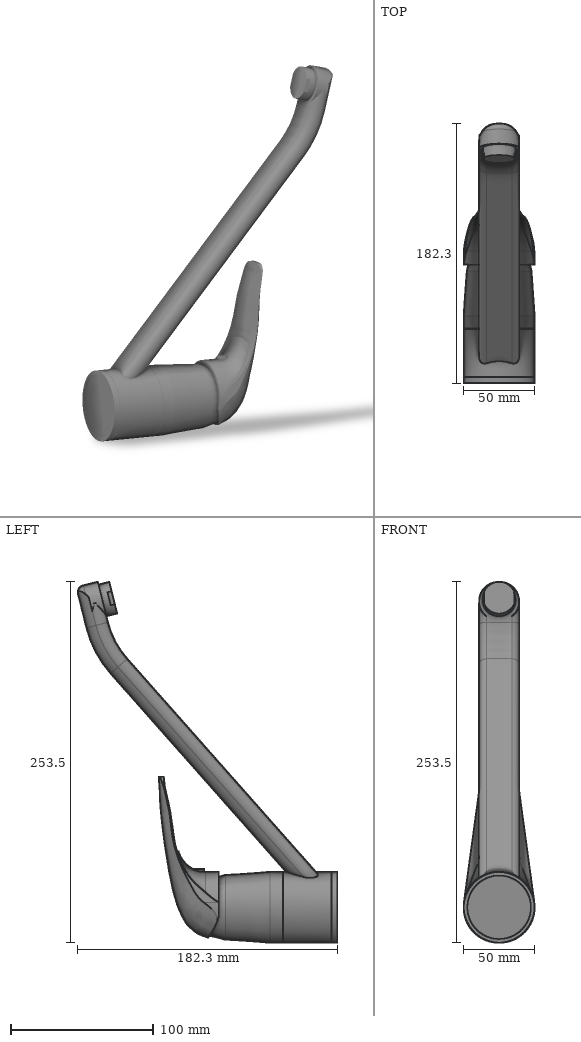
import cadquery as cq
import math

body_radius = 25.0
base_groove = 4.0
sleeve_groove = 38.0
taper_start = 47.5
taper_end = 78.8
taper_end_radius = 22.8
nose_end = 90.0
nose_end_radius = 20.0
groove_width = 0.5
groove_depth = 0.25
face_recess_radius = 22.3
face_recess_depth = 0.25

tube_thickness = 15.6
tube_flat_half_width = 9.0
tube_half_width = 14.1
tube_widest_depth = 5.0
tube_crease_half_width = 13.2
tube_crease_depth = 8.8
foot_y = 25.75
lean_low = math.radians(41.5)
lean_high = math.radians(14.0)
bend_radius = 68.5
bend_start_height = 169.5

head_above_bend = 15.1
head_edge_fillet = 5.0
nozzle_radius = 11.5
nozzle_length = 7.8
nozzle_rise = 0.6
nozzle_flat_half_width = 10.5
nozzle_flat_length = 3.0

lever_front = 83.2
lever_tip_height = 91.8
lever_side_taper = math.radians(7.75)
lever_tip_fillet = 9.0
lever_trim_allowance = 1.0
lever_collar_overlap = 0.5
lever_reach = 150.0
flare_start = 93.0
flare_radius = 19.2
flare_turn = math.radians(75)
button_radius = 4.1
button_y = 97.6
button_top = 26.9
button_depth = 7.0

opening_top = (lever_front, -5.7)
opening_middle = (86.3, -14.0)
opening_bottom = (91.4, -22.0)

lever_sections = [
    (120.2, 94.0, 125.7, 94.0),
    (119.2, 76.0, 124.9, 77.0),
    (116.2, 58.5, 123.4, 60.0),
    (109.5, 31.0, 118.3, 25.0),
    (104.0, 21.5, 114.5, 8.0),
    (97.5, 14.5, 108.2, -8.3),
    (90.5, 8.5, 99.6, -17.6),
    (lever_front, 4.0, lever_front, -24.6),
]


def revolve_about_y(profile):
    return profile.close().revolve(360, (0, 0, 0), (0, 1, 0))


def make_body():
    body = revolve_about_y(
        cq.Workplane("XY")
        .moveTo(0, 0)
        .lineTo(body_radius, 0)
        .lineTo(body_radius, taper_start)
        .lineTo(taper_end_radius, taper_end)
        .lineTo(nose_end_radius, nose_end)
        .lineTo(0, nose_end)
    )
    for groove_y in (base_groove, sleeve_groove):
        groove = (
            cq.Workplane("XZ", origin=(0, groove_y, 0))
            .circle(2 * body_radius)
            .circle(body_radius - groove_depth)
            .extrude(-groove_width)
        )
        body = body.cut(groove)
    recess = cq.Workplane("XZ").circle(face_recess_radius).extrude(-face_recess_depth)
    return body.cut(recess)


low_direction = (math.sin(lean_low), math.cos(lean_low))
high_direction = (math.sin(lean_high), math.cos(lean_high))


def along(point, direction, distance):
    return (point[0] + distance * direction[0], point[1] + distance * direction[1])


def arc_point(start, lean):
    """Point on the bend where the tube leans by the given angle, as (Y, Z)."""
    return (
        start[0] + bend_radius * (math.cos(lean) - math.cos(lean_low)),
        start[1] + bend_radius * (math.sin(lean_low) - math.sin(lean)),
    )


bend_start = (
    foot_y + (bend_start_height - body_radius) * math.tan(lean_low),
    bend_start_height,
)
bend_middle = arc_point(bend_start, (lean_low + lean_high) / 2)
bend_end = arc_point(bend_start, lean_high)
head_center = along(bend_end, high_direction, head_above_bend)
tube_root = (foot_y - body_radius / 2 * math.tan(lean_low), body_radius / 2)


def make_tube():
    path = (
        cq.Workplane("YZ")
        .moveTo(*tube_root)
        .lineTo(*bend_start)
        .threePointArc(bend_middle, bend_end)
        .lineTo(*head_center)
    )
    root_plane = cq.Plane(
        origin=(0, *tube_root), xDir=(1, 0, 0), normal=(0, *low_direction)
    )
    front = -tube_thickness / 2
    widest = front + tube_widest_depth
    crease = front + tube_crease_depth
    return (
        cq.Workplane(root_plane)
        .moveTo(-tube_flat_half_width, front)
        .lineTo(tube_flat_half_width, front)
        .threePointArc(
            (tube_half_width, widest), (tube_crease_half_width, crease)
        )
        .threePointArc((0, -front), (-tube_crease_half_width, crease))
        .threePointArc(
            (-tube_half_width, widest), (-tube_flat_half_width, front)
        )
        .close()
        .sweep(path)
    )


def make_head():
    outlet_normal = (0, -math.cos(lean_high), math.sin(lean_high))
    head_plane = cq.Plane(
        origin=(0, *head_center), xDir=(1, 0, 0), normal=outlet_normal
    )
    end_plane = cq.Plane(
        origin=(0, *head_center), xDir=(1, 0, 0), normal=(0, *high_direction)
    )
    front = tube_thickness / 2
    head = (
        cq.Workplane(head_plane)
        .workplane(offset=-front)
        .circle(tube_half_width)
        .extrude(tube_thickness)
        .edges(cq.selectors.DirectionMinMaxSelector(cq.Vector(outlet_normal), False))
        .fillet(head_edge_fillet)
    )
    crease = tube_crease_depth - front
    crown = (
        cq.Workplane(end_plane)
        .moveTo(-tube_half_width, -front)
        .lineTo(tube_half_width, -front)
        .lineTo(tube_half_width, crease)
        .lineTo(tube_crease_half_width, crease)
        .threePointArc((0, front), (-tube_crease_half_width, crease))
        .lineTo(-tube_half_width, crease)
        .close()
        .extrude(2 * tube_half_width, both=True)
    )
    nozzle = (
        cq.Workplane(head_plane)
        .center(0, nozzle_rise)
        .circle(nozzle_radius)
        .extrude(front + nozzle_length)
    )
    flats = (
        cq.Workplane(head_plane)
        .workplane(offset=front + nozzle_length - nozzle_flat_length)
        .rect(4 * nozzle_radius, 4 * nozzle_radius)
        .rect(2 * nozzle_flat_half_width, 4 * nozzle_radius)
        .extrude(nozzle_flat_length)
    )
    return head.intersect(crown).union(nozzle.cut(flats))


def lever_half_width(z):
    """Straight side line tangent to the circle of the body radius."""
    return body_radius / math.cos(lever_side_taper) - z * math.tan(lever_side_taper)


def lever_section(edge_y, edge_z, spine_y, spine_z):
    half = lever_half_width(edge_z) + lever_trim_allowance
    left = cq.Vector(-half, edge_y, edge_z)
    right = cq.Vector(half, edge_y, edge_z)
    spine = cq.Vector(0, spine_y, spine_z)
    back = cq.Edge.makeThreePointArc(left, spine, right)
    return cq.Wire.assembleEdges([back, cq.Edge.makeLine(right, left)])


def make_grip():
    wires = [lever_section(*section) for section in lever_sections]
    return cq.Workplane(cq.Solid.makeLoft(wires))


def flare_point(turn):
    """Point on the flare, as (radius, Y), after turning by the given angle."""
    return (
        body_radius + flare_radius * (1 - math.cos(turn)),
        flare_start + flare_radius * math.sin(turn),
    )


def make_collar():
    """Ring round the nose, flaring out into the front face of the grip."""
    flare_rim = flare_point(flare_turn)
    ring = revolve_about_y(
        cq.Workplane("XY")
        .moveTo(0, lever_front)
        .lineTo(body_radius, lever_front)
        .lineTo(body_radius, flare_start)
        .threePointArc(flare_point(flare_turn / 2), flare_rim)
        .lineTo(0, flare_rim[1])
    )
    grip_face = [
        (edge_y + lever_collar_overlap, edge_z - lever_collar_overlap)
        for edge_y, edge_z, _, _ in lever_sections
    ]
    front_space = (
        cq.Workplane("YZ")
        .polyline(
            [(lever_front, grip_face[0][1])]
            + grip_face
            + [(lever_front, grip_face[-1][1])]
        )
        .close()
        .extrude(2 * body_radius, both=True)
    )
    return ring.intersect(front_space)


def make_lever_outline():
    """Lever outline across X and Z: a taper tangent to the round body."""
    tangent_x = body_radius * math.cos(lever_side_taper)
    tangent_z = body_radius * math.sin(lever_side_taper)
    tip_half_width = lever_half_width(lever_tip_height)
    return (
        cq.Workplane("XZ")
        .moveTo(-tangent_x, tangent_z)
        .lineTo(-tip_half_width, lever_tip_height)
        .lineTo(tip_half_width, lever_tip_height)
        .lineTo(tangent_x, tangent_z)
        .threePointArc((0, -body_radius), (-tangent_x, tangent_z))
        .close()
        .extrude(-lever_reach)
        .edges("|Y and >Z")
        .fillet(lever_tip_fillet)
    )


def make_button():
    return (
        cq.Workplane("XY", origin=(0, button_y, button_top - button_depth))
        .circle(button_radius)
        .extrude(button_depth)
    )


def make_opening():
    below = -2 * body_radius
    return (
        cq.Workplane("YZ")
        .moveTo(*opening_top)
        .threePointArc(opening_middle, opening_bottom)
        .lineTo(opening_bottom[0], below)
        .lineTo(0, below)
        .lineTo(0, opening_top[1])
        .close()
        .extrude(2 * body_radius, both=True)
    )


def make_lever():
    shell = make_grip().union(make_collar()).intersect(make_lever_outline())
    return shell.union(make_button()).cut(make_opening())


valve_body = make_body()
faucet = valve_body.union(make_tube()).union(make_head())
lever = make_lever().cut(valve_body)

result = cq.Compound.makeCompound([*faucet.solids().vals(), *lever.solids().vals()])